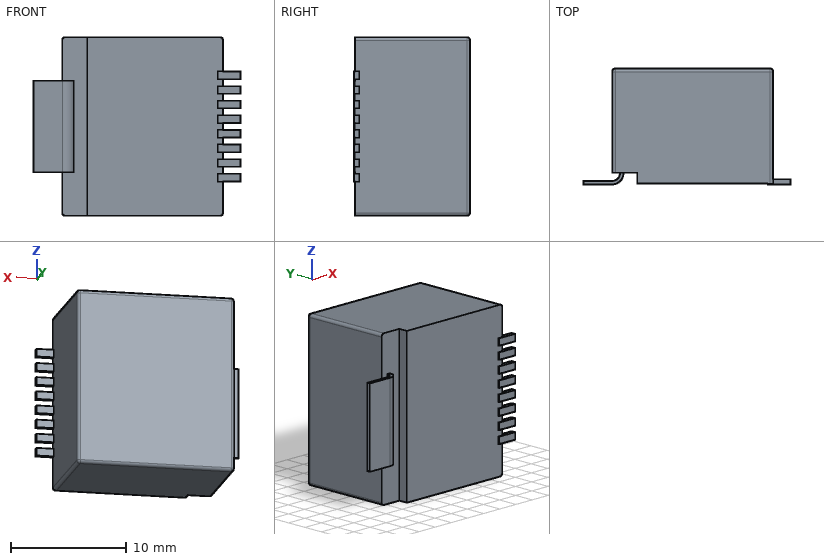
import cadquery as cq

total_length = 18.0
body_length = 14.0
body_depth = 10.0
body_height = 15.55
edge_radius = 0.29
body_right = 16.49
body_left = body_right - body_length
mount_gap = 0.09

step_width = 2.18
step_depth = 0.92
step_y = mount_gap + step_depth

tab_width = 8.0
tab_thickness = 0.32
tab_bend_radius = step_y
tab_outer_x = body_left + tab_bend_radius
tab_inner_radius = tab_bend_radius - tab_thickness
tab_embed = 0.36

pin_count = 8
pin_pitch = 1.27
pin_width = 0.68
pin_length = 2.0
pin_thickness = 0.47


def make_body():
    """Block with rounded Z-end and back edges, stepped at the mounting face."""
    block = (
        cq.Workplane("XY")
        .box(body_length, body_depth, body_height, centered=(False, False, True))
        .translate((body_left, mount_gap, 0))
        .edges("|Y or >Y")
        .fillet(edge_radius)
    )
    step = (
        cq.Workplane("XY")
        .box(step_width, step_depth, body_height, centered=(False, False, True))
        .translate((body_left, mount_gap, 0))
    )
    return block.cut(step)


def make_tab():
    """Constant-thickness strip with a quarter-round bend starting level with the body side."""
    root_y = step_y + tab_embed
    return (
        cq.Workplane("XY")
        .workplane(offset=-tab_width / 2)
        .moveTo(0, 0)
        .lineTo(body_left, 0)
        .radiusArc((tab_outer_x, tab_bend_radius), -tab_bend_radius)
        .lineTo(tab_outer_x, root_y)
        .lineTo(tab_outer_x - tab_thickness, root_y)
        .lineTo(tab_outer_x - tab_thickness, tab_bend_radius)
        .radiusArc((body_left, tab_thickness), tab_inner_radius)
        .lineTo(0, tab_thickness)
        .close()
        .extrude(tab_width)
    )


def make_pin(center_z):
    """Straight pin, partly sunk into the mounting face."""
    return (
        cq.Workplane("XY")
        .box(pin_length, pin_thickness, pin_width, centered=(False, False, True))
        .translate((total_length - pin_length, 0, center_z))
    )


result = make_body().union(make_tab())
for index in range(pin_count):
    result = result.union(make_pin((index - (pin_count - 1) / 2) * pin_pitch))